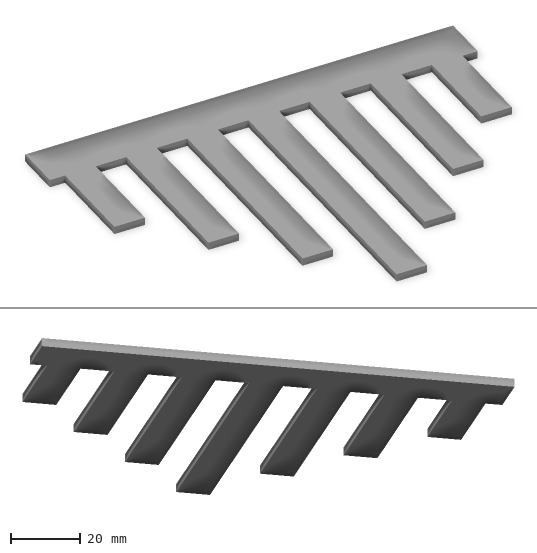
import cadquery as cq

THICKNESS = 2.5
SPINE_WIDTH = 15.0
FINGER_WIDTH = 10.0
FINGER_GAP = 10.0
FINGERS_PER_SIDE = 3
CENTER_FINGER_LENGTH = 90.0
LENGTH_STEP = 20.0

FINGER_PITCH = FINGER_WIDTH + FINGER_GAP
FINGER_COUNT = 2 * FINGERS_PER_SIDE + 1
SPINE_LENGTH = FINGER_COUNT * FINGER_PITCH


def plate(length_x, width_y, center_y=0.0):
    """Flat bar starting at X = 0, centred on center_y, resting on Z = 0."""
    bar = cq.Workplane("XY").box(length_x, width_y, THICKNESS, centered=(False, True, False))
    return bar.translate((0, center_y, 0))


def finger(index):
    """Finger at a signed index from the centre; its root overlaps the full spine width."""
    length = CENTER_FINGER_LENGTH - abs(index) * LENGTH_STEP
    return plate(SPINE_WIDTH + length, FINGER_WIDTH, index * FINGER_PITCH)


comb = plate(SPINE_WIDTH, SPINE_LENGTH)
for finger_index in range(-FINGERS_PER_SIDE, FINGERS_PER_SIDE + 1):
    comb = comb.union(finger(finger_index))

result = comb.clean()